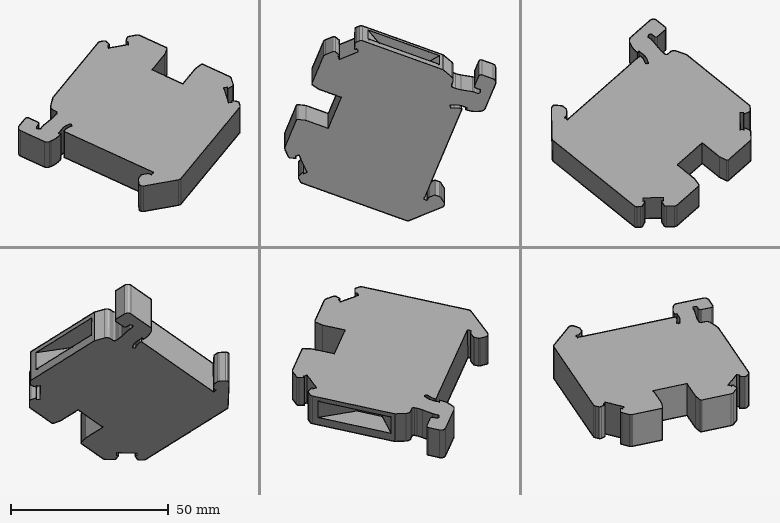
import cadquery as cq
import math

thickness = 12.15
top_y = 54.35
body_left = 2.85
body_right = 55.5
mid_x = (body_left + body_right) / 2

notch_half_width = 5.7
notch_floor_y = 43.9
notch_taper_y = 51.5
notch_taper = 0.7
notch_lip_radius = 0.55

seat_low_x, seat_low_y = 6.9, 44.6
seat_length_x = 4.6
tooth_foot = (-0.85, 0.85)
tooth_tip = (-0.35, 1.35)
lobe_peak = (-2.55, 2.1)
lobe_radius = 0.85
tooth_radius = 0.15
shoulder_radius = 1.2

edge_y = 6.95
edge_draft = 0.15
edge_left = 13.2
edge_right = 46.6
edge_radius = 0.3
wedge_overlap = 0.55

right_tip_x = 46.75
right_toe_x = 43.95

slot_x = 12.3
heel_x = 13.05
hook_top_y = 6.0
throat_left_x = 4.95
throat_width = 1.5
throat_floor_y = 3.55
leg_x = 7.4
step_y = 12.9

pocket_low_z, pocket_high_z = 3.3, 10.4
pocket_low_y, pocket_high_y = 18.55, 42.85
pocket_floor_low_y, pocket_floor_high_y = 23.55, 32.0
pocket_depth = 6.55


def rounded_outline(corners):
    """Closed outline with (x, y, radius) corners; a radius of 0 stays sharp."""
    arcs = []
    for i, (x, y, radius) in enumerate(corners):
        corner = cq.Vector(x, y)
        back = (cq.Vector(*corners[i - 1][:2]) - corner).normalized()
        ahead = (cq.Vector(*corners[(i + 1) % len(corners)][:2]) - corner).normalized()
        half_angle = back.getAngle(ahead) / 2
        setback = radius / math.tan(half_angle)
        bulge = radius / math.sin(half_angle) - radius
        middle = corner + (back + ahead).normalized() * bulge
        arcs.append((corner + back * setback, middle, corner + ahead * setback, radius))

    outline = cq.Workplane("XY").moveTo(*arcs[0][2].toTuple()[:2])
    for start, middle, end, radius in arcs[1:] + arcs[:1]:
        outline = outline.lineTo(start.x, start.y)
        if radius > 0:
            outline = outline.threePointArc((middle.x, middle.y), (end.x, end.y))
    return outline.close()


def upper_left_corners():
    """Corners from the left side up over the label seat and into the notch."""
    hook = [(lobe_peak, lobe_radius), (tooth_tip, tooth_radius), (tooth_foot, 0), ((0, 0), 0)]
    low = [(seat_low_x + dx, seat_low_y + dy, radius) for (dx, dy), radius in hook]
    mirror_sum = seat_low_x + seat_low_y + seat_length_x
    high = [(mirror_sum - y, mirror_sum - x, radius) for x, y, radius in reversed(low)]

    chamfer_offset = low[0][1] - low[0][0]
    wall_x = mid_x - notch_half_width
    return [
        (body_left, body_left + chamfer_offset, shoulder_radius),
        *low,
        *high,
        (top_y - chamfer_offset, top_y, shoulder_radius),
        (wall_x - notch_taper, top_y, notch_lip_radius),
        (wall_x, notch_taper_y, 0),
        (wall_x, notch_floor_y, 0),
    ]


def right_foot_corners():
    """Corners of the fixed foot, from the right side round to the lower edge."""
    return [
        (body_right, body_right - right_tip_x, 1.2),
        (right_tip_x, 0, 1.2),
        (right_tip_x - 1.1, 0, 0.85),
        (right_toe_x, 2.15, 0.85),
        (right_toe_x, 4.05, 0.55),
        (right_toe_x + 1.55, 5.65, 0.85),
        (edge_right, 5.7, 0),
    ]


def left_foot_corners():
    """Corners of the springy foot: flex slot, heel, hook and the step to the left side."""
    flex_slot = [
        (13.4, 8.5, 5.55),
        (14.25, 10.25, 0.15),
        (13.55, 10.95, 0.3),
        (slot_x, 8.7, 4.45),
        (slot_x, 5.45, 0),
    ]
    heel = [
        (heel_x, 5.65, 0),
        (heel_x, 3.1, 8.05),
        (11.25, 0, 1.65),
    ]
    throat_right_x = throat_left_x + throat_width
    throat_radius = 0.49 * throat_width
    hook = [
        (0, 0, 1.5),
        (0, hook_top_y, 0.85),
        (throat_left_x, hook_top_y, 0.7),
        (throat_left_x, throat_floor_y, throat_radius),
        (throat_right_x, throat_floor_y, throat_radius),
        (throat_right_x, 5.65, 2.8),
    ]
    step = [
        (leg_x, 10.4, 9.45),
        (leg_x, step_y, 0.6),
        (4.5, step_y, 1.7),
        (body_left, 17.3, 0),
    ]
    return flex_slot + heel + hook + step


def plate():
    left = upper_left_corners()
    right = [(2 * mid_x - x, y, radius) for x, y, radius in reversed(left)]
    lower_edge = [(edge_right, edge_y, 0), (edge_left, edge_y, edge_radius)]
    corners = left + right + right_foot_corners() + lower_edge + left_foot_corners()
    return rounded_outline(corners).extrude(thickness)


def lower_edge_draft():
    """Thin wedge that makes the lower edge lean outward toward the base."""
    inner_y = edge_y + wedge_overlap
    wedge = [
        (inner_y, 0),
        (edge_y - edge_draft, 0),
        (edge_y, thickness),
        (inner_y, thickness),
    ]
    start_x = edge_left + 1.2 * edge_radius
    return (
        cq.Workplane("YZ", origin=(start_x, 0, 0))
        .polyline(wedge)
        .close()
        .extrude(edge_right - start_x)
    )


def wire_pocket():
    floor_x = body_left + pocket_depth
    return (
        cq.Workplane("XY", origin=(0, 0, pocket_low_z))
        .moveTo(body_left, pocket_low_y)
        .lineTo(floor_x, pocket_floor_low_y)
        .lineTo(floor_x, pocket_floor_high_y)
        .lineTo(body_left, pocket_high_y)
        .close()
        .extrude(pocket_high_z - pocket_low_z)
    )


result = plate().union(lower_edge_draft()).cut(wire_pocket())